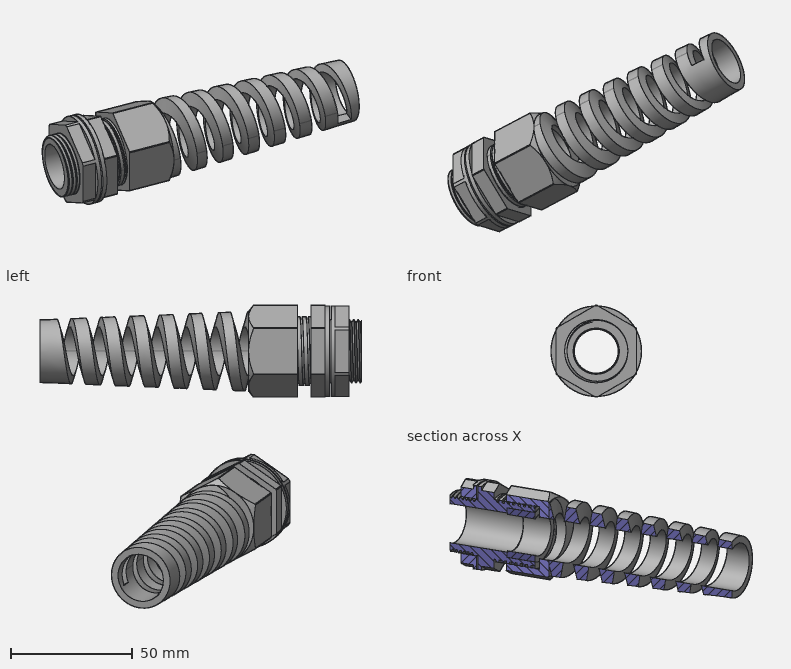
import cadquery as cq
import math


locknut_start = 5.2
locknut_flange_start = 10.9
locknut_end = 12.6
body_flange_start = 13.2
body_flange_end = 15.0
body_hex_end = 20.9
cap_start = 26.4
body_end = 40.0
cap_bore_end = 42.0
cap_end = 46.5
total_length = 132.38

across_flats = 33.0
hex_corner_radius = 37.85 / 2
flange_radius = 37.3 / 2
cap_chamfer_height = 2.0
cap_face_radius = across_flats / 2

body_bore_radius = 9.5
seal_bore_radius = 9.0
spiral_bore_radius = 10.0

entry_crest_radius = 13.0
entry_root_radius = 12.0
entry_pitch = 1.8
entry_land = 0.2
entry_first_groove = 1.0

neck_crest_radius = 14.2
neck_root_radius = 13.3
neck_pitch = 2.5
neck_groove_width = 1.0
neck_groove_root_width = 0.8
neck_first_groove = 20.5

seal_outer_radius = 11.5
seal_start = 27.0

spiral_base_radius = cap_face_radius
spiral_tip_radius = 12.95
spiral_pitch = 12.0
spiral_end_angle = 30
spiral_turns = 7 + spiral_end_angle / 360
spiral_gap_at_bore = 4.5
spiral_flank_slope = 0.25
spiral_groove_start = 41.4

overshoot = 0.5


def cylinder(radius, start, end):
    return cq.Workplane("XY").workplane(offset=start).circle(radius).extrude(end - start)


def hexagon(start, end, corner_radius):
    """Hexagonal prism with corners on local Y, rounded off at corner_radius."""
    corner_diameter = across_flats / math.cos(math.pi / 6)
    prism = cq.Workplane("XY").workplane(offset=start).polygon(6, corner_diameter).extrude(end - start)
    prism = prism.rotate((0, 0, 0), (0, 0, 1), 30)
    return prism.intersect(cylinder(corner_radius, start, end))


def helical_cutter(inner_radius, outer_radius, inner_width, outer_width, pitch, start, turns):
    """Right-handed sweep of a trapezoid that starts on the +X side, centred at height start."""
    path = cq.Wire.makeHelix(pitch, pitch * turns, inner_radius)
    profile = (
        cq.Workplane("XZ")
        .moveTo(inner_radius, -inner_width / 2)
        .lineTo(outer_radius, -outer_width / 2)
        .lineTo(outer_radius, outer_width / 2)
        .lineTo(inner_radius, inner_width / 2)
        .close()
    )
    return profile.sweep(cq.Workplane(obj=path), isFrenet=True).translate((0, 0, start))


def entry_thread_cutter():
    outer_radius = entry_crest_radius + overshoot
    crest_width = entry_pitch - entry_land
    root_width = entry_land
    slope = (crest_width - root_width) / (entry_crest_radius - entry_root_radius)
    outer_width = root_width + slope * (outer_radius - entry_root_radius)
    start = entry_first_groove - entry_pitch
    turns = math.floor((body_flange_start - start) / entry_pitch)
    return helical_cutter(
        entry_root_radius, outer_radius, root_width, outer_width, entry_pitch, start, turns
    )


def neck_thread_cutter():
    turns = math.ceil((body_end - neck_first_groove) / neck_pitch)
    return helical_cutter(
        neck_root_radius,
        neck_crest_radius + overshoot,
        neck_groove_root_width,
        neck_groove_width,
        neck_pitch,
        neck_first_groove,
        turns,
    )


def make_locknut():
    nut = hexagon(locknut_start, locknut_end, flange_radius)
    nut = nut.union(cylinder(flange_radius, locknut_flange_start, locknut_end))
    return nut.cut(cylinder(entry_crest_radius, locknut_start, locknut_end))


def make_body():
    entry = cylinder(entry_crest_radius, 0, body_flange_start).cut(entry_thread_cutter())
    neck = cylinder(neck_crest_radius, body_hex_end, body_end).cut(neck_thread_cutter())
    body = cylinder(flange_radius, body_flange_start, body_flange_end)
    body = body.union(hexagon(body_flange_end, body_hex_end, hex_corner_radius))
    body = body.union(entry).union(neck)
    body = body.cut(cylinder(body_bore_radius, 0, body_end))
    return body.cut(cylinder(seal_outer_radius, seal_start, body_end))


def make_seal():
    seal = cylinder(seal_outer_radius, seal_start, body_end)
    return seal.cut(cylinder(seal_bore_radius, seal_start, body_end))


def make_cap_nut():
    cap = hexagon(cap_start, cap_end, hex_corner_radius)
    corner_cut = hex_corner_radius - cap_face_radius
    rounding = cylinder(hex_corner_radius, cap_start, cap_end)
    rounding = rounding.faces(">Z").chamfer(cap_chamfer_height, corner_cut)
    cap = cap.intersect(rounding)
    cap = cap.cut(cylinder(neck_crest_radius, cap_start, cap_bore_end))
    return cap.cut(cylinder(spiral_bore_radius, cap_bore_end, cap_end))


def spiral_groove_cutter():
    inner_radius = spiral_bore_radius - overshoot
    outer_radius = spiral_base_radius + overshoot
    inner_width = spiral_gap_at_bore - 2 * spiral_flank_slope * overshoot
    outer_width = spiral_gap_at_bore + 2 * spiral_flank_slope * (outer_radius - spiral_bore_radius)
    return helical_cutter(
        inner_radius,
        outer_radius,
        inner_width,
        outer_width,
        spiral_pitch,
        spiral_groove_start,
        spiral_turns,
    )


def make_spiral():
    sleeve = (
        cq.Workplane("XZ")
        .moveTo(spiral_bore_radius, cap_end)
        .lineTo(spiral_base_radius, cap_end)
        .lineTo(spiral_tip_radius, total_length)
        .lineTo(spiral_bore_radius, total_length)
        .close()
        .revolve(360, (0, 0, 0), (0, 1, 0))
    )
    return sleeve.cut(spiral_groove_cutter())


def place(body):
    """Turn a body from the local Z axis onto the Y axis."""
    return body.rotate((0, 0, 0), (1, 0, 0), -90).solids()


locknut = place(make_locknut())
body = place(make_body())
seal = place(make_seal())
cap_nut = place(make_cap_nut())
spiral = place(make_spiral())

result = cq.Compound.makeCompound(
    [locknut.val(), body.val(), seal.val(), cap_nut.val(), spiral.val()]
)